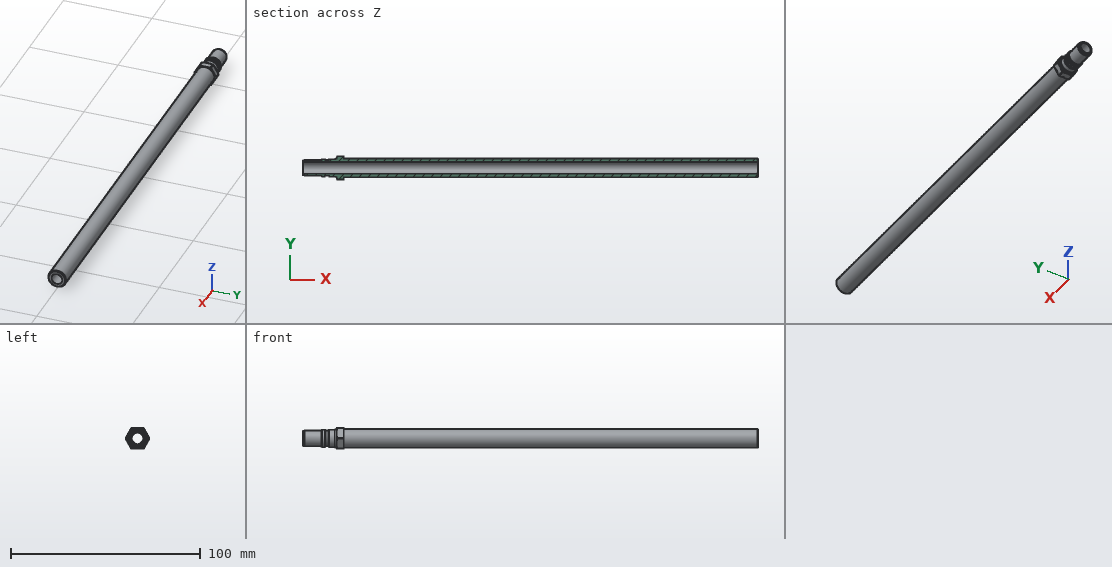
import cadquery as cq

total_length = 240.0
bore_diameter = 6.0

spigot_diameter = 8.5
spigot_end = 9.5
spigot_tip_diameter = 7.7
spigot_chamfer_length = 1.0

collar_diameter = 9.4
collar_start = 10.3
collar_end = 11.5
groove_diameter = 8.5
groove_floor_start = 12.0
groove_floor_end = 13.5
shoulder_start = 14.0
shoulder_diameter = 9.4
shoulder_end = 16.8
flare_diameter = 10.0

hex_start = 17.8
hex_end = 21.5
hex_across_flats = 11.0
hex_turned_diameter = 12.5
hex_face_diameter = 11.0
hex_chamfer_length = 0.5

tube_diameter = 10.0
tube_chamfer = 0.5


def revolve_profile(stations):
    """Solid of revolution about X from (x, diameter) stations."""
    outline = [(x, diameter / 2) for x, diameter in stations]
    first_x = stations[0][0]
    last_x = stations[-1][0]
    outline = [(first_x, 0)] + outline + [(last_x, 0)]
    return cq.Workplane("XY").polyline(outline).close().revolve(360, (0, 0, 0), (1, 0, 0))


def make_body():
    return revolve_profile([
        (0, spigot_tip_diameter),
        (spigot_chamfer_length, spigot_diameter),
        (spigot_end, spigot_diameter),
        (collar_start, collar_diameter),
        (collar_end, collar_diameter),
        (groove_floor_start, groove_diameter),
        (groove_floor_end, groove_diameter),
        (shoulder_start, shoulder_diameter),
        (shoulder_end, shoulder_diameter),
        (hex_start, flare_diameter),
        (hex_end, tube_diameter),
        (total_length - tube_chamfer, tube_diameter),
        (total_length, tube_diameter - 2 * tube_chamfer),
    ])


def make_hexagon():
    """Hexagon with corners turned round and chamfered at the -X face."""
    prism = (
        cq.Workplane("YZ", origin=(hex_start, 0, 0))
        .polygon(6, hex_across_flats, circumscribed=True)
        .extrude(hex_end - hex_start)
        .rotate((0, 0, 0), (1, 0, 0), 90)
    )
    corner_trim = revolve_profile([
        (hex_start, hex_face_diameter),
        (hex_start + hex_chamfer_length, hex_turned_diameter),
        (hex_end, hex_turned_diameter),
    ])
    return prism.intersect(corner_trim)


bore = cq.Workplane("YZ").circle(bore_diameter / 2).extrude(total_length)

result = make_body().union(make_hexagon()).cut(bore)